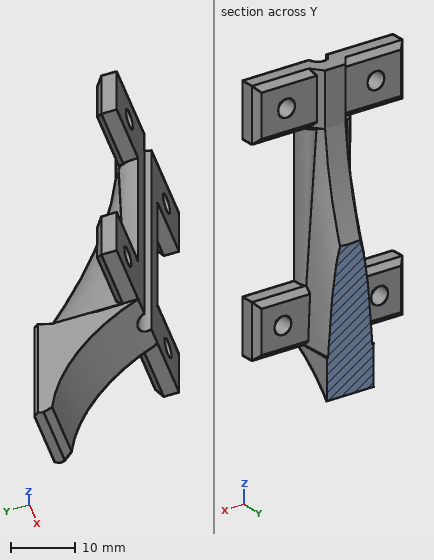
import cadquery as cq

length = 70.1
plate_width = 29.0
depth = 17.0
stem_half = 4.55

pad_thickness = 3.6
pad_chamfer = 1.05
pad_height = 10.0
lower_pad_z = 23.1
upper_pad_z = length - pad_height
hole_diameter = 3.2
lower_hole_spacing = 18.65
upper_hole_spacing = 17.25
hole_rise = pad_height / 2
groove_radius = 1.6

ridge_half = 1.95
ridge_start_y = 4.6
ridge_foot_half = 3.6
ridge_foot_y = pad_thickness - pad_chamfer
ridge_slope = 0.08
flare_sections = 5
crease_top_y = 3.7
crease_bottom_y = 2.1
crease_top_half = 2.95
crease_bottom_half = 4.5
shoulder_top_half = 2.4
shoulder_top_drop = 0.4
shoulder_bottom_drop = 2.2
stem_edge_y = 0.7

lip_half = 5.2
lip_back_half = 4.7
lip_edge_y = 16.25
lip_front_y = 14.15
lip_chamfer = 1.25
hook_arc_mid = (8.8, 15.35)


def blend(start, end, fraction):
    """Value part of the way between a start and an end."""
    return start + (end - start) * fraction


def symmetric_section(half_points, z):
    """Closed XY outline from its +X half, mirrored across the YZ plane."""
    mirrored = [(-x, y) for x, y in reversed(half_points)]
    return cq.Workplane("XY").workplane(offset=z).polyline(half_points + mirrored).close()


def mounting_pad(bottom_z, hole_spacing):
    pad = cq.Workplane("XY").box(plate_width, pad_thickness, pad_height, centered=(True, False, False))
    pad = pad.faces(">Y").chamfer(pad_chamfer)
    holes = (
        cq.Workplane("XZ")
        .pushPoints([(-hole_spacing / 2, hole_rise), (hole_spacing / 2, hole_rise)])
        .circle(hole_diameter / 2)
        .extrude(-pad_thickness)
    )
    return pad.cut(holes).translate((0, 0, bottom_z))


def flare_section(fraction):
    """Wire across the flare, from the upper pad (0) down to the hook (1)."""
    rise = depth - ridge_start_y
    linear_rise = ridge_slope * (upper_pad_z - lower_pad_z)
    ridge_y = ridge_start_y + linear_rise * fraction + (rise - linear_rise) * fraction**2
    shoulder_y = ridge_y - blend(shoulder_top_drop, shoulder_bottom_drop, fraction)
    shoulder_x = blend(shoulder_top_half, stem_half, fraction)
    crease_x = blend(crease_top_half, crease_bottom_half, fraction)
    crease_y = blend(crease_top_y, crease_bottom_y, fraction)

    return (
        cq.Workplane("XY")
        .workplane(offset=blend(upper_pad_z, lower_pad_z, fraction))
        .moveTo(-stem_half, 0)
        .lineTo(stem_half, 0)
        .lineTo(stem_half, stem_edge_y)
        .bezier([(stem_half, stem_edge_y), (stem_half, crease_y), (crease_x, crease_y)])
        .bezier([(crease_x, crease_y), (shoulder_x, shoulder_y), (ridge_half, ridge_y)])
        .lineTo(-ridge_half, ridge_y)
        .bezier([(-ridge_half, ridge_y), (-shoulder_x, shoulder_y), (-crease_x, crease_y)])
        .bezier([(-crease_x, crease_y), (-stem_half, crease_y), (-stem_half, stem_edge_y)])
        .close()
        .wires()
        .val()
    )


def flared_stem():
    sections = [flare_section(index / (flare_sections - 1)) for index in range(flare_sections)]
    return cq.Workplane(cq.Solid.makeLoft(sections))


def upper_ridge():
    outline = [(ridge_foot_half, 0), (ridge_foot_half, ridge_foot_y), (ridge_half, ridge_start_y)]
    return symmetric_section(outline, upper_pad_z).extrude(pad_height)


def hook():
    web = (
        cq.Workplane("YZ")
        .moveTo(0, lower_pad_z)
        .threePointArc(hook_arc_mid, (lip_front_y, lip_chamfer))
        .lineTo(lip_front_y, 0)
        .lineTo(depth, 0)
        .lineTo(depth, lower_pad_z)
        .close()
        .extrude(stem_half, both=True)
    )
    lip_outline = [
        (stem_half, lip_front_y),
        (lip_half, lip_edge_y),
        (lip_back_half, depth),
    ]
    lip = symmetric_section(lip_outline, 0).extrude(lower_pad_z)
    bevel = (
        cq.Workplane("YZ")
        .polyline([(lip_front_y, 0), (lip_front_y + lip_chamfer, 0), (lip_front_y, lip_chamfer)])
        .close()
        .extrude(lip_half, both=True)
    )
    return web.union(lip).cut(bevel)


groove = cq.Workplane("XY").circle(groove_radius).extrude(length)

result = (
    flared_stem()
    .union(upper_ridge())
    .union(mounting_pad(upper_pad_z, upper_hole_spacing))
    .union(mounting_pad(lower_pad_z, lower_hole_spacing))
    .union(hook())
    .cut(groove)
)